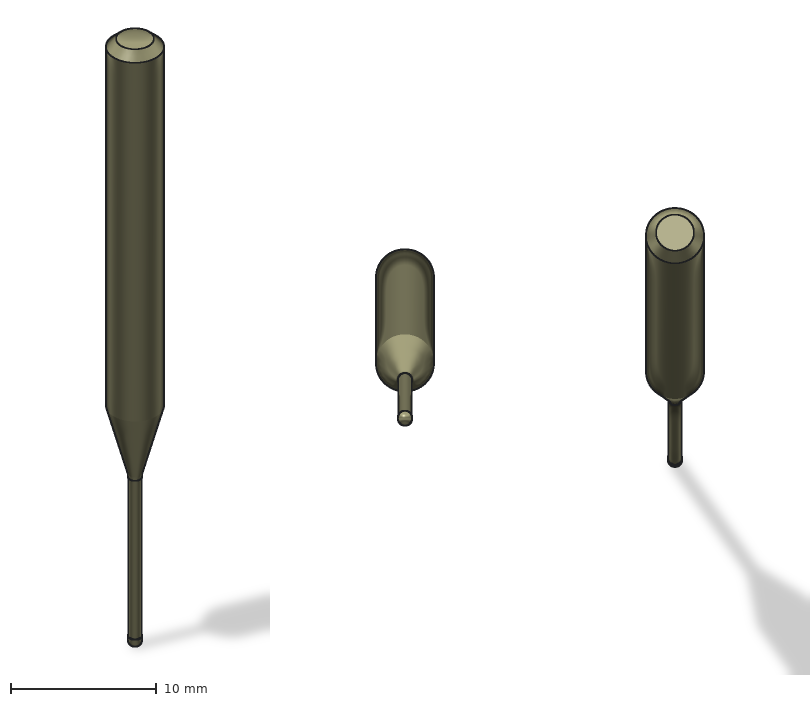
import cadquery as cq


total_length = 50.0

cutter_radius = 0.5
cutter_length = 0.8

neck_radius = 0.475
neck_end_height = 13.9
collar_length = 0.3

shank_radius = 2.0
taper_end_height = 19.8
chamfer_width = 0.7
chamfer_height = 0.65

taper_start_height = neck_end_height + collar_length
chamfer_start_height = total_length - chamfer_height
top_face_radius = shank_radius - chamfer_width


def make_cutting_head():
    """Hemispherical tip with a short cylindrical land above it."""
    land_length = cutter_length - cutter_radius
    land = (
        cq.Workplane("XY")
        .workplane(offset=cutter_radius)
        .circle(cutter_radius)
        .extrude(land_length)
    )
    ball = cq.Workplane("XY").sphere(cutter_radius).translate((0, 0, cutter_radius))
    return land.union(ball)


def make_shank():
    """Neck, collar, taper and chamfered shank turned from one half profile."""
    half_profile = (
        cq.Workplane("XZ")
        .moveTo(0, cutter_length)
        .lineTo(neck_radius, cutter_length)
        .lineTo(neck_radius, neck_end_height)
        .lineTo(cutter_radius, neck_end_height)
        .lineTo(cutter_radius, taper_start_height)
        .lineTo(shank_radius, taper_end_height)
        .lineTo(shank_radius, chamfer_start_height)
        .lineTo(top_face_radius, total_length)
        .lineTo(0, total_length)
        .close()
    )
    return half_profile.revolve(360, (0, 0, 0), (0, 1, 0))


cutting_head = make_cutting_head()
shank = make_shank()

result = cq.Compound.makeCompound([cutting_head.val(), shank.val()])